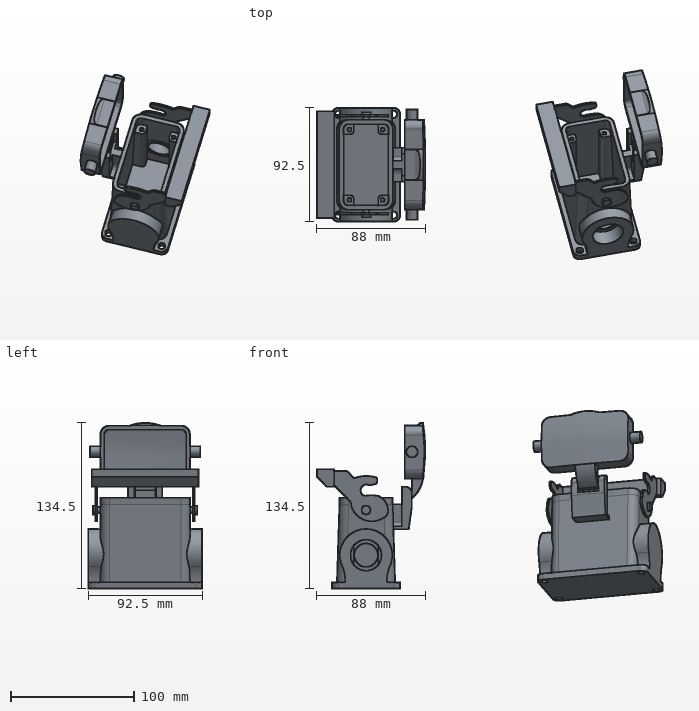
import cadquery as cq
import math


PLATE_X = 55.5
PLATE_Y = 92.5
PLATE_T = 5.1
PLATE_CORNER = 5.4
MOUNT_HOLE_D = 5.7
MOUNT_HOLE_X = 22.3
MOUNT_HOLE_Y = 40.9

SHELL_TOP_X = 43.3
SHELL_FOOT_X = 47.4
SHELL_Y = 72.8
SHELL_TOP_Z = 73.9
DRAFT_TOP_Z = 68.5
SHELL_CORNER = 7.4
WALL = 3.5

POST_SIZE = 8.2
POST_TOP_Z = 62.6
POST_CORNER = 3.1
POST_HOLE_D = 3.2
POST_HOLE_DEPTH = 10.8
POST_HOLE_X = 13.5
POST_HOLE_Y = 28.5

BOSS_R = 21.3
BOSS_Z = 27.2
BOSS_FOOT_X = 17.0
BOSS_NECK_R = 26.9
BORE_D = 25.2
BORE_DEPTH = 12.5
BORE_INNER_D = 19.1

BRACKET_Y = 27.9
BRACKET_FRONT_X = 29.0
BRACKET_BACK_X = 37.3
BRACKET_FOOT_X = 34.7
BRACKET_BOTTOM_Z = 48.2
BRACKET_TOP_Z = 82.8
BRACKET_TAPER_Z = 66.6
BRACKET_SHOULDER_R = 5.4
SHELF_TOP_Z = 50.6
NOTCH_Y = 17.5
RIB_T = 6.2
RIB_FILLET = 3.8

LEVER_PLATE_INNER_Y = 38.8
LEVER_PLATE_T = 1.6
PIVOT_Z = 63.8
PIVOT_D = 5.2
PIVOT_HEAD_D = 7.3
PIVOT_HEAD_T = 2.0
BAR_LEFT_X = -39.8
BAR_RIGHT_X = -26.0
BAR_BOTTOM_Z = 82.6
BAR_TOP_Z = 96.9
BAR_BEVEL_X = 8.0
BAR_BEVEL_Z = 8.2
BAR_Y = 86.8

COVER_FRONT_X = 31.2
COVER_CROWN_X = 48.2
COVER_BOTTOM_Z = 89.1
COVER_TOP_Z = 132.3
COVER_MID_Z = (COVER_BOTTOM_Z + COVER_TOP_Z) / 2
COVER_Y = SHELL_Y
COVER_CORNER = SHELL_CORNER
COVER_WALL = 3.2
COVER_BACK_T = 3.5
CROWN_R_Z = 148.0
CROWN_R_Y = 672.8
COVER_PIN_D = 9.2
COVER_PIN_X = 37.3
COVER_PIN_Z = 111.0
COVER_PIN_SPAN = 89.6

TAB_Y = 24.8
TAB_TOP_Z = 134.5
TAB_PAD_T = 0.1
TAB_SWEEP_X = 40.5
TAB_SWEEP_R = 3.8

LUG_Y = 16.4
LUG_FRONT_X = COVER_FRONT_X
LUG_BOTTOM_Z = 72.3
LUG_TOP_Z = 79.9
TAIL_FRONT_X = BRACKET_BACK_X
TAIL_BACK_X = 46.3
TAIL_BELLY_X = 42.9
TAIL_BELLY_Z = 79.9
TAIL_END_X = 36.0


def slab(x0, x1, y_width, z0, z1):
    """Box between two X and two Z planes, centred on Y = 0."""
    centre_x = (x0 + x1) / 2
    return cq.Workplane("XY", origin=(centre_x, 0, z0)).box(x1 - x0, y_width, z1 - z0, (True, True, False))


def side_plane(y):
    """Workplane at the given Y that extrudes towards -Y; its local axes are X and Z."""
    return cq.Workplane("XZ", origin=(0, y, 0))


def rod_y(x, z, diameter, y0, y1):
    return side_plane(y1).center(x, z).circle(diameter / 2).extrude(y1 - y0)


def rounded_rectangle(x, y, radius):
    return cq.Sketch().rect(x, y).vertices().fillet(radius)


def drafted_block(inset, bottom_z, top_z):
    """Shell outline moved in by inset: drafted in X up to DRAFT_TOP_Z and upright above it."""
    slope = (SHELL_FOOT_X - SHELL_TOP_X) / 2 / (DRAFT_TOP_Z - PLATE_T)
    top_x = SHELL_TOP_X / 2 - inset
    bottom_x = top_x + slope * (DRAFT_TOP_Z - bottom_z)
    half_y = SHELL_Y / 2 - inset
    return (
        side_plane(half_y)
        .moveTo(-bottom_x, bottom_z)
        .lineTo(-top_x, DRAFT_TOP_Z)
        .lineTo(-top_x, top_z)
        .lineTo(top_x, top_z)
        .lineTo(top_x, DRAFT_TOP_Z)
        .lineTo(bottom_x, bottom_z)
        .close()
        .extrude(2 * half_y)
        .faces("<Y or >Y")
        .edges("not |X")
        .fillet(SHELL_CORNER - inset)
    )


def base_plate():
    return cq.Workplane("XY").placeSketch(rounded_rectangle(PLATE_X, PLATE_Y, PLATE_CORNER)).extrude(PLATE_T)


def entry_bosses():
    """Round cable-entry bosses whose necks sweep down into straight feet, through both ends."""
    neck_x = BOSS_FOOT_X + BOSS_NECK_R
    centres = BOSS_R + BOSS_NECK_R
    neck_z = BOSS_Z - math.sqrt(centres**2 - neck_x**2)
    join_x = neck_x * BOSS_R / centres
    join_z = BOSS_Z + (neck_z - BOSS_Z) * BOSS_R / centres
    foot_x = neck_x - math.sqrt(BOSS_NECK_R**2 - (neck_z - PLATE_T) ** 2)
    half_angle = math.atan2(join_z - neck_z, neck_x - join_x) / 2
    mid_x = neck_x - BOSS_NECK_R * math.cos(half_angle)
    mid_z = neck_z + BOSS_NECK_R * math.sin(half_angle)
    return (
        side_plane(PLATE_Y / 2)
        .moveTo(-foot_x, 0)
        .lineTo(-foot_x, PLATE_T)
        .threePointArc((-mid_x, mid_z), (-join_x, join_z))
        .threePointArc((0, BOSS_Z + BOSS_R), (join_x, join_z))
        .threePointArc((mid_x, mid_z), (foot_x, PLATE_T))
        .lineTo(foot_x, 0)
        .close()
        .extrude(PLATE_Y)
    )


def screw_posts(cavity):
    """Four posts in the cavity corners, each with a blind screw hole."""
    inner_x = SHELL_TOP_X / 2 - WALL - POST_SIZE
    inner_y = SHELL_Y / 2 - WALL - POST_SIZE
    posts = cq.Workplane("XY")
    for side_x in (-1, 1):
        for side_y in (-1, 1):
            post = (
                cq.Workplane("XY", origin=(0, 0, PLATE_T))
                .center(side_x * (inner_x + POST_SIZE), side_y * (inner_y + POST_SIZE))
                .rect(2 * POST_SIZE, 2 * POST_SIZE)
                .extrude(POST_TOP_Z - PLATE_T)
                .edges("|Z")
                .fillet(POST_CORNER)
            )
            posts = posts.add(post)
    posts = posts.combine().intersect(cavity)
    holes = (
        cq.Workplane("XY", origin=(0, 0, POST_TOP_Z - POST_HOLE_DEPTH))
        .rect(2 * POST_HOLE_X, 2 * POST_HOLE_Y, forConstruction=True)
        .vertices()
        .circle(POST_HOLE_D / 2)
        .extrude(POST_HOLE_DEPTH)
    )
    return posts.cut(holes)


def hinge_bracket():
    """Upright with two prongs, carried on a shelf with a filleted central rib."""
    half_y = BRACKET_Y / 2
    bend = BRACKET_SHOULDER_R * (1 - math.sqrt(0.5))
    upright = (
        side_plane(half_y)
        .moveTo(BRACKET_FRONT_X, BRACKET_BOTTOM_Z)
        .lineTo(BRACKET_FRONT_X, BRACKET_TOP_Z)
        .lineTo(BRACKET_BACK_X - BRACKET_SHOULDER_R, BRACKET_TOP_Z)
        .threePointArc(
            (BRACKET_BACK_X - bend, BRACKET_TOP_Z - bend),
            (BRACKET_BACK_X, BRACKET_TOP_Z - BRACKET_SHOULDER_R),
        )
        .lineTo(BRACKET_BACK_X, BRACKET_TAPER_Z)
        .lineTo(BRACKET_FOOT_X, BRACKET_BOTTOM_Z)
        .close()
        .extrude(BRACKET_Y)
    )
    notch = slab(BRACKET_FRONT_X, BRACKET_BACK_X, NOTCH_Y, DRAFT_TOP_Z, BRACKET_TOP_Z)
    shelf = slab(0, BRACKET_FRONT_X, BRACKET_Y, BRACKET_BOTTOM_Z, SHELF_TOP_Z)
    flare_y = RIB_T / 2 + RIB_FILLET
    flare_z = SHELF_TOP_Z + RIB_FILLET
    bend = RIB_FILLET * (1 - math.sqrt(0.5))
    rib = (
        cq.Workplane("YZ")
        .moveTo(-flare_y, SHELF_TOP_Z)
        .threePointArc((-RIB_T / 2 - bend, SHELF_TOP_Z + bend), (-RIB_T / 2, flare_z))
        .lineTo(-RIB_T / 2, DRAFT_TOP_Z)
        .lineTo(RIB_T / 2, DRAFT_TOP_Z)
        .lineTo(RIB_T / 2, flare_z)
        .threePointArc((RIB_T / 2 + bend, SHELF_TOP_Z + bend), (flare_y, SHELF_TOP_Z))
        .close()
        .extrude(BRACKET_FRONT_X)
    )
    return upright.cut(notch).union(shelf).union(rib)


def lever_plate(y0):
    """Side plate of the lever: arm, hook finger, slot for the cover pin and rounded cam."""
    return (
        side_plane(y0 + LEVER_PLATE_T)
        .moveTo(BAR_RIGHT_X, 95.5)
        .lineTo(-15.7, 95.5)
        .threePointArc((-14.0, 94.2), (-12.4, 92.3))
        .lineTo(-10.0, 89.6)
        .threePointArc((0, 91.5), (8.3, 90.3))
        .threePointArc((9.3, 87.5), (7.8, 84.8))
        .lineTo(2.7, 83.7)
        .threePointArc((-4.3, 80.0), (-1.3, 75.4))
        .threePointArc((4.6, 75.9), (10.0, 75.4))
        .threePointArc((15.3, 70.9), (17.9, 63.8))
        .threePointArc((17.2, 60.1), (14.4, 57.6))
        .threePointArc((4.8, 54.6), (-6.5, 58.7))
        .threePointArc((-10.0, 62.7), (-12.0, 67.3))
        .threePointArc((-12.5, 70.1), (-13.7, 71.6))
        .lineTo(BAR_RIGHT_X, 83.7)
        .close()
        .extrude(LEVER_PLATE_T)
    )


def lever():
    """Locking lever: grip bar, two side plates and the two headed pivots that carry it."""
    bar = (
        side_plane(BAR_Y / 2)
        .moveTo(BAR_LEFT_X, BAR_TOP_Z)
        .lineTo(BAR_RIGHT_X, BAR_TOP_Z)
        .lineTo(BAR_RIGHT_X, BAR_BOTTOM_Z)
        .lineTo(BAR_LEFT_X + BAR_BEVEL_X, BAR_BOTTOM_Z)
        .lineTo(BAR_LEFT_X, BAR_BOTTOM_Z + BAR_BEVEL_Z)
        .close()
        .extrude(BAR_Y)
    )
    plate_outer_y = LEVER_PLATE_INNER_Y + LEVER_PLATE_T
    plate = lever_plate(LEVER_PLATE_INNER_Y)
    neck = rod_y(0, PIVOT_Z, PIVOT_D, SHELL_Y / 2 - WALL / 2, plate_outer_y)
    head = rod_y(0, PIVOT_Z, PIVOT_HEAD_D, plate_outer_y, plate_outer_y + PIVOT_HEAD_T)
    side = plate.union(neck).union(head)
    return bar.union(side).union(side.mirror("XZ"))


def make_housing():
    cavity = drafted_block(WALL, PLATE_T, SHELL_TOP_Z)
    body = base_plate().union(drafted_block(0, PLATE_T, SHELL_TOP_Z))
    body = body.union(entry_bosses()).union(hinge_bracket()).cut(cavity)
    body = body.union(screw_posts(cavity))

    end_y = -PLATE_Y / 2
    body = body.cut(rod_y(0, BOSS_Z, BORE_D, end_y, end_y + BORE_DEPTH))
    body = body.cut(rod_y(0, BOSS_Z, BORE_INNER_D, end_y, WALL - SHELL_Y / 2))

    mount_holes = (
        cq.Workplane("XY")
        .rect(2 * MOUNT_HOLE_X, 2 * MOUNT_HOLE_Y, forConstruction=True)
        .vertices()
        .circle(MOUNT_HOLE_D / 2)
        .extrude(PLATE_T)
    )
    return body.cut(mount_holes).union(lever())


def crown(apex_x):
    """Wedge whose +X face is doubly curved and reaches apex_x at the middle of the cover."""
    half_z = COVER_TOP_Z - COVER_BOTTOM_Z
    drop = CROWN_R_Z - math.sqrt(CROWN_R_Z**2 - half_z**2)
    sweep = 10.0
    start_x = CROWN_R_Y / 2
    return (
        cq.Workplane("XZ")
        .moveTo(start_x, -half_z)
        .lineTo(CROWN_R_Y - drop, -half_z)
        .threePointArc((CROWN_R_Y, 0), (CROWN_R_Y - drop, half_z))
        .lineTo(start_x, half_z)
        .close()
        .revolve(sweep, (0, 0, 0), (0, 1, 0))
        .rotate((0, 0, 0), (0, 0, 1), -sweep / 2)
        .translate((apex_x - CROWN_R_Y, 0, COVER_MID_Z))
    )


def cover_block(inset, x1):
    """Rounded block of the cover outline moved in by inset, from the front face to x1."""
    y = COVER_Y - 2 * inset
    z = COVER_TOP_Z - COVER_BOTTOM_Z - 2 * inset
    outline = rounded_rectangle(y, z, COVER_CORNER - inset)
    return (
        cq.Workplane("YZ", origin=(COVER_FRONT_X, 0, COVER_MID_Z))
        .placeSketch(outline)
        .extrude(x1 - COVER_FRONT_X)
    )


def finger_tab():
    """Arched tab on top of the cover: a low pad at the front that sweeps up at the back."""
    half_y = TAB_Y / 2
    arch = (
        cq.Workplane("YZ", origin=(COVER_FRONT_X, 0, 0))
        .moveTo(-half_y, COVER_TOP_Z)
        .threePointArc((0, TAB_TOP_Z), (half_y, COVER_TOP_Z))
        .lineTo(half_y, COVER_TOP_Z - COVER_WALL)
        .lineTo(-half_y, COVER_TOP_Z - COVER_WALL)
        .close()
        .extrude(COVER_CROWN_X - COVER_FRONT_X)
    )
    pad_z = COVER_TOP_Z + TAB_PAD_T
    clearance = (
        side_plane(half_y)
        .moveTo(COVER_FRONT_X, pad_z)
        .lineTo(TAB_SWEEP_X, pad_z)
        .radiusArc((TAB_SWEEP_X + TAB_SWEEP_R, pad_z + TAB_SWEEP_R), -TAB_SWEEP_R)
        .lineTo(COVER_FRONT_X, pad_z + TAB_SWEEP_R)
        .close()
        .extrude(TAB_Y)
    )
    return arch.cut(clearance)


def hinge_tail():
    """Curved tail under the cover with a lug that lies between the bracket prongs."""
    return (
        side_plane(LUG_Y / 2)
        .moveTo(TAIL_FRONT_X, COVER_BOTTOM_Z)
        .lineTo(TAIL_FRONT_X, LUG_TOP_Z)
        .lineTo(LUG_FRONT_X, LUG_TOP_Z)
        .lineTo(LUG_FRONT_X, LUG_BOTTOM_Z)
        .lineTo(TAIL_END_X, LUG_BOTTOM_Z)
        .threePointArc((TAIL_BELLY_X, TAIL_BELLY_Z), (TAIL_BACK_X, COVER_BOTTOM_Z))
        .close()
        .extrude(LUG_Y)
    )


def make_cover():
    shell = cover_block(0, COVER_CROWN_X).union(finger_tab()).intersect(crown(COVER_CROWN_X))
    hollow = cover_block(COVER_WALL, COVER_CROWN_X).intersect(crown(COVER_CROWN_X - COVER_BACK_T))
    half_span = COVER_PIN_SPAN / 2
    shell = shell.union(rod_y(COVER_PIN_X, COVER_PIN_Z, COVER_PIN_D, -half_span, half_span))
    return shell.cut(hollow).union(hinge_tail())


housing = make_housing()
cover = make_cover()
result = cq.Compound.makeCompound([housing.val(), cover.val()])